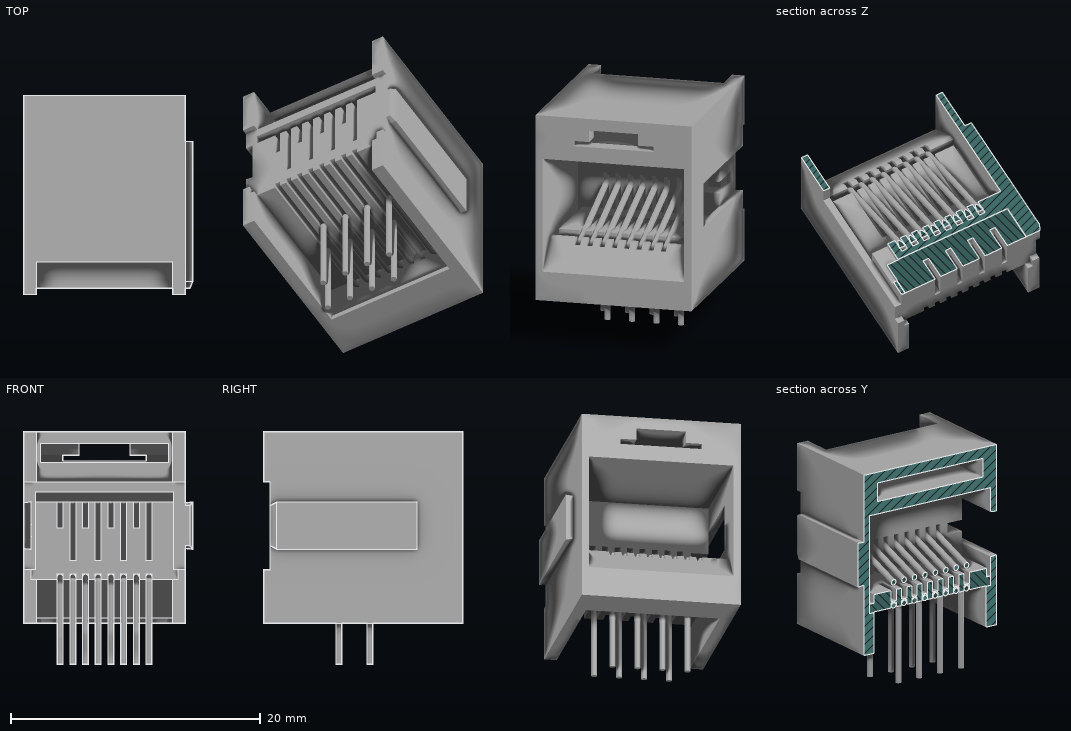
import cadquery as cq
import math


housing_width = 13.0
housing_depth = 16.0
housing_height = 15.4
half_width = housing_width / 2
side_wall = 0.6
cavity_half_width = half_width - side_wall
flange_thickness = 1.03
flange_inner_half_width = half_width - flange_thickness

front_face_y = 0.5
notch_bottom_z = 4.31
notch_top_z = 11.37
recess_depth = 2.6
insert_pocket_top_z = 10.56
partition_front_y = 3.6
partition_rear_y = 5.37

cavity_ceiling_z = 11.8
sill_front_y = 13.1
sill_top_z = 4.72
sill_slope_start_y = 13.5
sill_slope_end_z = 2.4
sill_slot_rear_y = 14.0
sill_slot_bottom_z = 3.4
lip_height = 0.44
lip_front_y = 12.4

latch_slot_half_width = 5.13
latch_slot_bottom_z = 12.9
latch_slot_top_z = 14.44
latch_wall_y = 14.5
latch_undercut_angle = math.radians(15)
latch_undercut_top_z = 13.48
latch_opening_bottom_z = 13.05
latch_wide_half_width = 3.34
latch_narrow_half_width = 2.03

dovetail_center_z = 7.845
dovetail_root_half_height = 1.84
dovetail_tip_half_height = 1.905
dovetail_rear_y = 12.3
tongue_taper_length = 0.55
tongue_front_protrusion = 0.36
tongue_front_half_height = 1.6

window_front_y = 1.9
window_bottom_z = 6.96
window_top_z = 7.92
window_notch_depth = 1.4

plate_slot_rear_y = 2.5
insert_bottom_z = 3.52
insert_top_z = 9.75
insert_half_width = 5.54
base_top_z = 5.04
base_rear_y = 12.4
base_groove_front_y = 7.4
base_groove_bottom_z = 4.1
short_slot_bottom_z = 7.64

wire_count = 8
wire_pitch = 1.02
wire_diameter = 0.48
channel_top_z = 3.95
lead_z = channel_top_z - wire_diameter / 2
pin_bottom_z = -3.3
near_pin_y = 6.04
far_pin_y = 8.53
pin_bend_radius = 0.4
spring_slope = math.radians(19.5)
spring_partition_z = 7.07
spring_tip_y = 4.5
turn_radius = 0.35
tip_groove_front_y = 4.2
tip_groove_top_z = 8.0

wire_positions = [(k - (wire_count - 1) / 2) * wire_pitch for k in range(wire_count)]


def block(x_range, y_range, z_range):
    """Box spanning the given (low, high) ranges."""
    ranges = (x_range, y_range, z_range)
    sizes = [high - low for low, high in ranges]
    corner = [low for low, high in ranges]
    return cq.Workplane("XY").box(*sizes, centered=False).translate(tuple(corner))


def centered_block(half_x, y_range, z_range):
    return block((-half_x, half_x), y_range, z_range)


def side_profile(points, half_x):
    """Prism from (y, z) points, symmetric about X = 0."""
    return cq.Workplane("YZ").polyline(points).close().extrude(half_x, both=True)


def wire_block(x, y_range, z_range):
    """Box as wide as a wire, centred on X = x."""
    return block((x - wire_diameter / 2, x + wire_diameter / 2), y_range, z_range)


def dovetail_section(y, root_x, depth, root_half_height, tip_half_height):
    """Dovetail outline in the XZ plane at y, growing from root_x by depth along +X."""
    tip_x = root_x + depth
    outline = [
        (root_x, dovetail_center_z - root_half_height),
        (tip_x, dovetail_center_z - tip_half_height),
        (tip_x, dovetail_center_z + tip_half_height),
        (root_x, dovetail_center_z + root_half_height),
    ]
    return cq.Wire.makePolygon([cq.Vector(x, y, z) for x, z in outline], close=True)


def full_dovetail_section(y, root_x):
    return dovetail_section(y, root_x, side_wall, dovetail_root_half_height, dovetail_tip_half_height)


def loft(*sections):
    return cq.Workplane(cq.Solid.makeLoft(list(sections), True))


def dovetail_tongue():
    taper_end_y = front_face_y + tongue_taper_length
    front = dovetail_section(
        front_face_y, half_width, tongue_front_protrusion, tongue_front_half_height, tongue_front_half_height
    )
    full = full_dovetail_section(taper_end_y, half_width)
    rear = full_dovetail_section(dovetail_rear_y, half_width)
    return loft(front, full).union(loft(full, rear))


def dovetail_pocket():
    """Dovetail pocket with its floor window, which deepens into the partition."""
    front = full_dovetail_section(0, -half_width)
    rear = full_dovetail_section(dovetail_rear_y, -half_width)
    window_z = (window_bottom_z, window_top_z)
    wall_hole = block(
        (-cavity_half_width, -insert_half_width), (window_front_y, partition_rear_y), window_z
    )
    notch_x = (-cavity_half_width, -cavity_half_width + window_notch_depth)
    partition_notch = block(notch_x, (partition_front_y, partition_rear_y), window_z)
    return loft(front, rear).union(wall_hole).union(partition_notch)


def insert_space():
    """Pocket for the insert's plate, groove for its flanges and the open space below it."""
    plate = centered_block(insert_half_width, (0, partition_front_y), (insert_bottom_z, insert_pocket_top_z))
    base = centered_block(insert_half_width, (0, sill_front_y), (insert_bottom_z, base_top_z))
    groove = centered_block(cavity_half_width, (0, sill_front_y), (insert_bottom_z, notch_bottom_z))
    underside = centered_block(flange_inner_half_width, (0, sill_front_y), (lip_height, insert_bottom_z))
    below_lip = centered_block(flange_inner_half_width, (0, lip_front_y), (0, lip_height))
    return plate.union(base).union(groove).union(underside).union(below_lip)


def plug_cavity():
    return side_profile(
        [
            (partition_rear_y, notch_bottom_z),
            (sill_front_y, notch_bottom_z),
            (sill_front_y, sill_top_z),
            (sill_slope_start_y, sill_top_z),
            (housing_depth, sill_slope_end_z),
            (housing_depth, cavity_ceiling_z),
            (partition_rear_y, cavity_ceiling_z),
        ],
        cavity_half_width,
    )


def latch_space():
    """Slot behind the front recess, ending in a slightly undercut wall, and its stepped rear opening."""
    undercut_height = latch_undercut_top_z - latch_slot_bottom_z
    undercut_rear_y = latch_wall_y + undercut_height * math.tan(latch_undercut_angle)
    slot = side_profile(
        [
            (recess_depth, latch_slot_bottom_z),
            (undercut_rear_y, latch_slot_bottom_z),
            (latch_wall_y, latch_undercut_top_z),
            (latch_wall_y, latch_slot_top_z),
            (recess_depth, latch_slot_top_z),
        ],
        latch_slot_half_width,
    )
    opening_y = (latch_wall_y, housing_depth)
    wide = centered_block(latch_wide_half_width, opening_y, (latch_opening_bottom_z, latch_undercut_top_z))
    narrow = centered_block(latch_narrow_half_width, opening_y, (latch_undercut_top_z, latch_slot_top_z))
    return slot.union(wide).union(narrow)


def make_housing():
    body = centered_block(half_width, (0, housing_depth), (0, housing_height))
    top_recess = centered_block(flange_inner_half_width, (0, recess_depth), (notch_top_z, housing_height))
    front_notch = centered_block(half_width, (0, front_face_y), (notch_bottom_z, notch_top_z))
    body = body.cut(top_recess).cut(front_notch)
    body = body.cut(insert_space()).cut(plug_cavity()).cut(latch_space()).cut(dovetail_pocket())
    for x in wire_positions:
        tip_groove = wire_block(x, (tip_groove_front_y, partition_rear_y), (base_top_z, tip_groove_top_z))
        sill_slot = wire_block(x, (sill_front_y, sill_slot_rear_y), (sill_slot_bottom_z, sill_top_z))
        body = body.cut(tip_groove).cut(sill_slot)
    return body.union(dovetail_tongue())


def make_insert():
    """Upright slotted plate on a long base with side flanges."""
    plate = centered_block(
        insert_half_width, (front_face_y, partition_front_y), (insert_bottom_z, insert_top_z)
    )
    base = centered_block(insert_half_width, (front_face_y, base_rear_y), (insert_bottom_z, base_top_z))
    flanges = centered_block(
        cavity_half_width, (front_face_y, base_rear_y), (insert_bottom_z, notch_bottom_z)
    )
    body = plate.union(base).union(flanges)
    for k, x in enumerate(wire_positions):
        slot_bottom_z = base_top_z if k % 2 else short_slot_bottom_z
        plate_slot = wire_block(x, (front_face_y, plate_slot_rear_y), (slot_bottom_z, insert_top_z))
        base_groove = wire_block(x, (base_groove_front_y, base_rear_y), (base_groove_bottom_z, base_top_z))
        channel = wire_block(x, (front_face_y, base_rear_y), (insert_bottom_z, channel_top_z))
        body = body.cut(plate_slot).cut(base_groove).cut(channel)
    return body


def make_contact(x, pin_y):
    """Round wire: pin up, bend to the rear, lead under the base, turn back and rise as a spring."""
    fall = math.tan(spring_slope)
    vertex_y = partition_rear_y + (spring_partition_z - lead_z) / fall
    turn_y = vertex_y - turn_radius / math.tan(spring_slope / 2)
    turn_z = lead_z + turn_radius
    turn_end = (turn_y + turn_radius * math.sin(spring_slope), turn_z + turn_radius * math.cos(spring_slope))
    spring_tip = (spring_tip_y, spring_partition_z + (partition_rear_y - spring_tip_y) * fall)
    bend_offset = pin_bend_radius * (1 - math.sqrt(0.5))
    path = (
        cq.Workplane("YZ", origin=(x, 0, 0))
        .moveTo(pin_y, pin_bottom_z)
        .lineTo(pin_y, lead_z - pin_bend_radius)
        .threePointArc((pin_y + bend_offset, lead_z - bend_offset), (pin_y + pin_bend_radius, lead_z))
        .lineTo(turn_y, lead_z)
        .threePointArc((turn_y + turn_radius, turn_z), turn_end)
        .lineTo(*spring_tip)
    )
    section = cq.Workplane("XY", origin=(x, pin_y, pin_bottom_z)).circle(wire_diameter / 2)
    return section.sweep(path)


housing = make_housing()
insert = make_insert()
contacts = [
    make_contact(x, near_pin_y if k % 2 else far_pin_y)
    for k, x in enumerate(wire_positions)
]

result = cq.Compound.makeCompound(
    [housing.val(), insert.val(), *[contact.val() for contact in contacts]]
)